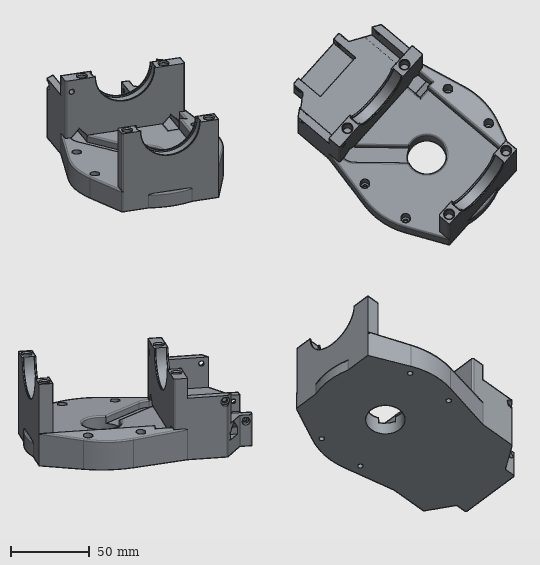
import cadquery as cq
import math

total_length = 142.5
edge_round = 1.0
tolerance = 0.01

plate_radius = 49.5
plate_height = 14.7
rim_height = 9.8
channel_floor = 9.8
window_diameter = 25.0

wall_thickness = 9.0
wall_spacing = 85.5
wall_height = 54.7
front_wall_half_width = 40.2
rear_wall_half_width = 32.5
bearing_radius = 21.0
bearing_lip_radius = 20.0
bearing_width = 7.0

ledge_height = 22.2
ledge_slope = math.radians(10)

block_end_x = plate_radius - total_length
nose_half_width = 22.1
nose_end_x = -84.8
flank_end_x = -73.3
block_height = 21.0
side_wall_height = 41.3
side_wall_inner_y = 34.9
nose_pocket_half_width = 17.0
nose_pocket_end_x = -74.7
nose_pocket_floor = 9.8

channel_width = 10.7
channel_inner_y = 25.5
channel_shoulder = 14.5
roof_rise = 5.7
notch_end_x = -27.7
notch_width = 11.0
ramp_start_x = -32.4
ramp_lip_drop = 0.1

plate_hole_x = 17.1
plate_hole_y = 40.0
screw_diameter = 3.4
screw_head_diameter = 6.0
plate_head_floor = 5.0
side_screw_x = -72.0
side_screw_z = 37.2
side_head_depth = 3.0
nose_screw_x = -89.0
nose_screw_z = 16.7
nose_screw_diameter = 2.9
nose_head_diameter = 5.0
nose_head_depth = 3.5
cap_hole_diameter = 6.0
cap_hole_depth = 11.4
cap_hole_y = 27.5
cap_mouth_width = 0.5
cap_mouth_depth = 1.0
cross_hole_y = 35.9
cross_hole_z = 46.8
blind_cross_hole_depth = 5.7

front_wall_x = -wall_spacing / 2
rear_wall_x = wall_spacing / 2
front_outer_x = front_wall_x - wall_thickness / 2
front_inner_x = front_wall_x + wall_thickness / 2
rear_inner_x = rear_wall_x - wall_thickness / 2
rear_outer_x = rear_wall_x + wall_thickness / 2
channel_outer_y = channel_inner_y + channel_width
channel_centre_y = channel_inner_y + channel_width / 2
ledge_inner_y = rear_wall_half_width


def box(x0, x1, y0, y1, z0, z1):
    return cq.Workplane("XY").box(x1 - x0, y1 - y0, z1 - z0, centered=False).translate((x0, y0, z0))


def tangent_angle(x, y, turn):
    """Angle of the point where a line from (x, y) touches the plate circle."""
    return math.atan2(y, x) + turn * math.acos(plate_radius / math.hypot(x, y))


def on_plate_circle(angle):
    return (plate_radius * math.cos(angle), plate_radius * math.sin(angle))


def plate_outline():
    """Two arcs about the origin joined to the wall corners by tangent lines."""
    front_angle = tangent_angle(front_outer_x, front_wall_half_width, -1)
    rear_angle = tangent_angle(rear_outer_x, rear_wall_half_width, 1)
    front_x, front_y = on_plate_circle(front_angle)
    rear_x, rear_y = on_plate_circle(rear_angle)
    return (
        cq.Workplane("XY")
        .moveTo(front_outer_x, front_wall_half_width)
        .lineTo(front_x, front_y)
        .threePointArc((0, plate_radius), (rear_x, rear_y))
        .lineTo(rear_outer_x, rear_wall_half_width)
        .lineTo(rear_outer_x, -rear_wall_half_width)
        .lineTo(rear_x, -rear_y)
        .threePointArc((0, -plate_radius), (front_x, -front_y))
        .lineTo(front_outer_x, -front_wall_half_width)
        .close()
    )


def sloped_ledge():
    """Rim on the +Y side whose top falls away outwards."""
    drop = (plate_radius - ledge_inner_y) * math.tan(ledge_slope)
    profile = (
        cq.Workplane("YZ", origin=(front_outer_x, 0, 0))
        .moveTo(ledge_inner_y, 0)
        .lineTo(ledge_inner_y, ledge_height)
        .lineTo(plate_radius, ledge_height - drop)
        .lineTo(plate_radius, 0)
        .close()
        .extrude(rear_outer_x - front_outer_x)
    )
    return plate_outline().extrude(ledge_height).intersect(profile)


def diagonal_slot():
    """Wire slot that bends from the -Y channel towards the window axis."""
    corner_distance = math.hypot(front_inner_x, channel_inner_y)
    angle = math.atan2(channel_inner_y, -front_inner_x)
    angle += math.asin(channel_width / 2 / corner_distance)
    across = (math.sin(angle), -math.cos(angle))
    half = channel_width / 2
    bend_middle = angle / 2
    return (
        cq.Workplane("XY", origin=(0, 0, channel_floor))
        .moveTo(front_outer_x, -channel_inner_y)
        .lineTo(front_inner_x, -channel_inner_y)
        .lineTo(-half * across[0], -half * across[1])
        .lineTo(half * across[0], half * across[1])
        .lineTo(front_inner_x + channel_width * across[0], -channel_inner_y + channel_width * across[1])
        .threePointArc(
            (
                front_inner_x + channel_width * math.sin(bend_middle),
                -channel_inner_y - channel_width * math.cos(bend_middle),
            ),
            (front_inner_x, -channel_outer_y),
        )
        .lineTo(front_outer_x, -channel_outer_y)
        .close()
        .extrude(ledge_height)
    )


def channel_ramp():
    """Wedge that lifts the wires from the notch floor to the plate."""
    return (
        cq.Workplane("XZ", origin=(0, channel_inner_y, 0))
        .moveTo(ramp_start_x, channel_floor)
        .lineTo(notch_end_x + edge_round, channel_floor)
        .lineTo(notch_end_x + edge_round, plate_height)
        .lineTo(notch_end_x, plate_height - ramp_lip_drop)
        .close()
        .extrude(-notch_width)
    )


def is_rounded(edge):
    """True for the exposed upper edges of the floor, the ledge, the slot and the notch."""
    bounds = edge.BoundingBox()
    centre = edge.Center()
    at_wall = bounds.xlen < tolerance and not front_inner_x < centre.x < rear_inner_x
    vertical = bounds.zlen > bounds.xlen + bounds.ylen
    ledge_foot = abs(centre.y - ledge_inner_y) < tolerance and centre.z < ledge_height - tolerance
    return centre.z > plate_height - tolerance and not (at_wall or vertical or ledge_foot)


def base_plate():
    plate = plate_outline().extrude(plate_height)
    rear_corner = cq.NearestToPointSelector((rear_outer_x, -rear_wall_half_width, plate_height / 2))
    plate = plate.edges(rear_corner).fillet(edge_round)
    plate = plate.union(sloped_ledge())
    plate = plate.cut(cq.Workplane("XY").circle(window_diameter / 2).extrude(ledge_height))
    plate = plate.cut(diagonal_slot())
    notch = box(
        front_outer_x, notch_end_x, channel_inner_y, channel_inner_y + notch_width,
        channel_floor, ledge_height,
    )
    plate = plate.cut(notch)
    rounded_edges = [edge for edge in plate.edges().vals() if is_rounded(edge)]
    return plate.newObject(rounded_edges).fillet(edge_round)


def connector_block():
    """Block with its side walls, nose pocket and the front bearing wall."""
    outline = [
        (block_end_x, nose_half_width),
        (nose_end_x, nose_half_width),
        (flank_end_x, front_wall_half_width),
        (front_inner_x, front_wall_half_width),
    ]
    mirrored = [(x, -y) for x, y in reversed(outline)]
    block = cq.Workplane("XY").polyline(outline + mirrored).close().extrude(wall_height)
    block = block.edges("|Z").fillet(edge_round)
    block = block.cut(
        box(block_end_x, front_outer_x, -plate_radius, plate_radius, side_wall_height, wall_height)
    )
    block = block.cut(
        box(block_end_x, front_outer_x, -side_wall_inner_y, side_wall_inner_y, block_height, wall_height)
    )
    return block.cut(
        box(
            block_end_x, nose_pocket_end_x, -nose_pocket_half_width, nose_pocket_half_width,
            nose_pocket_floor, wall_height,
        )
    )


def rear_wall():
    wall = box(rear_inner_x, rear_outer_x, -rear_wall_half_width, rear_wall_half_width, 0, wall_height)
    return wall.edges("|Z and <Y").fillet(edge_round)


def rear_rim():
    """Low segment of the plate circle that stands out past the rear wall."""
    rim = cq.Workplane("XY").circle(plate_radius).extrude(rim_height)
    rim = rim.faces(">Z").edges().fillet(edge_round)
    return rim.intersect(
        box(rear_inner_x, plate_radius, -rear_wall_half_width, rear_wall_half_width, 0, rim_height)
    )


def wire_channel(side):
    """Tunnel with a gabled roof, from the slanted flank to the inside of the front wall."""
    half = channel_width / 2
    return (
        cq.Workplane("YZ", origin=(block_end_x, side * channel_centre_y, 0))
        .moveTo(-half, channel_floor)
        .lineTo(half, channel_floor)
        .lineTo(half, channel_shoulder)
        .lineTo(0, channel_shoulder + roof_rise)
        .lineTo(-half, channel_shoulder)
        .close()
        .extrude(front_inner_x - block_end_x)
    )


def x_cylinder(x, y, z, diameter, length):
    return cq.Workplane("YZ", origin=(x, y, z)).circle(diameter / 2).extrude(length)


def bearing_seat(wall_x):
    """Half-round seat with a narrow lip on both faces of the wall."""
    lip = x_cylinder(wall_x - wall_thickness / 2, 0, wall_height, 2 * bearing_lip_radius, wall_thickness)
    seat = x_cylinder(wall_x - bearing_width / 2, 0, wall_height, 2 * bearing_radius, bearing_width)
    return lip.union(seat)


def cap_hole(wall_x, side):
    """Blind hole in the top of a bearing wall, with a chamfered mouth."""
    radius = cap_hole_diameter / 2
    return (
        cq.Workplane("XZ")
        .lineTo(radius + cap_mouth_width, 0)
        .lineTo(radius, -cap_mouth_depth)
        .lineTo(radius, -cap_hole_depth)
        .lineTo(0, -cap_hole_depth)
        .close()
        .revolve(360, (0, 0, 0), (0, 1, 0))
        .translate((wall_x, side * cap_hole_y, wall_height))
    )


def plate_screw(x, y):
    shank = cq.Workplane("XY").center(x, y).circle(screw_diameter / 2).extrude(ledge_height)
    head = (
        cq.Workplane("XY", origin=(x, y, plate_head_floor))
        .circle(screw_head_diameter / 2)
        .extrude(ledge_height)
    )
    return shank.union(head)


def side_screw(x, z, face_y, inner_y, diameter, head_diameter, head_depth):
    """Counterbored hole through one -Y side wall, from face_y inwards to inner_y."""
    plane = cq.Workplane("XZ", origin=(x, -face_y, z))
    shank = plane.circle(diameter / 2).extrude(inner_y - face_y)
    head = plane.circle(head_diameter / 2).extrude(-head_depth)
    return shank.union(head)


result = (
    base_plate()
    .union(connector_block())
    .union(rear_wall())
    .union(rear_rim())
    .union(channel_ramp())
)

for wall_x in (front_wall_x, rear_wall_x):
    result = result.cut(bearing_seat(wall_x))
    for side in (-1, 1):
        result = result.cut(cap_hole(wall_x, side))

for side in (-1, 1):
    result = result.cut(wire_channel(side))
    for x in (-plate_hole_x, plate_hole_x):
        result = result.cut(plate_screw(x, side * plate_hole_y))

side_wall_screw = side_screw(
    side_screw_x, side_screw_z, front_wall_half_width, side_wall_inner_y,
    screw_diameter, screw_head_diameter, side_head_depth,
)
nose_screw = side_screw(
    nose_screw_x, nose_screw_z, nose_half_width, nose_pocket_half_width,
    nose_screw_diameter, nose_head_diameter, nose_head_depth,
)
for screw in (side_wall_screw, nose_screw):
    result = result.cut(screw).cut(screw.mirror("XZ"))

for y, depth in ((-cross_hole_y, wall_thickness), (cross_hole_y, blind_cross_hole_depth)):
    result = result.cut(x_cylinder(front_outer_x, y, cross_hole_z, screw_diameter, depth))